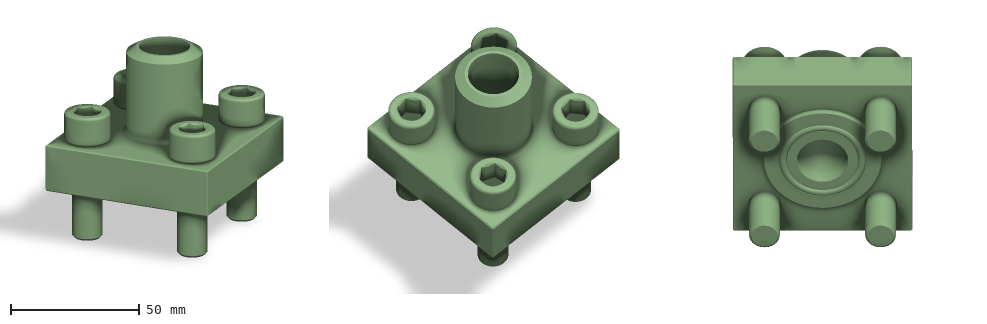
import cadquery as cq
import math

OVERALL_WIDTH = 91.1
TILT = 22.5

PLATE_THICKNESS = 19.0
PLATE_CHAMFER = 0.5
FACE_DIAMETER = 46.0
FACE_HEIGHT = 2.0
FACE_CHAMFER = 0.5
STUB_DIAMETER = 30.0
STUB_HEIGHT = 35.0
STUB_ROOT_FILLET = 1.9
STUB_TIP_DIAMETER = 22.5
STUB_BEVEL_ANGLE = 30.0
BORE_DIAMETER = 20.0

SCREW_COUNT = 4
FIRST_SCREW_ANGLE = TILT + 45
SCREW_CIRCLE_DIAMETER = 64.0
CLEARANCE_DIAMETER = 13.0
SHANK_DIAMETER = 12.0
SHANK_LENGTH = 40.0
SHANK_CHAMFER = 1.0
HEAD_DIAMETER = 18.0
HEAD_HEIGHT = 12.0
HEAD_TOP_FILLET = 1.2
HEAD_BASE_FILLET = 1.2
HEX_SIDES = 6
HEX_CORNER_DIAMETER = 11.6
HEX_DEPTH = 9.0
HEX_LEAD_ANGLE = 45.0

RING_OUTER_DIAMETER = 33.8
RING_INNER_DIAMETER = 28.0
RING_PROTRUSION = 0.6

tilt_sin = math.sin(math.radians(TILT))
tilt_cos = math.cos(math.radians(TILT))
plate_side = (OVERALL_WIDTH + 2 * PLATE_CHAMFER * tilt_sin) / (tilt_sin + tilt_cos)
stub_tip_z = PLATE_THICKNESS + STUB_HEIGHT
stub_bevel_width = (STUB_DIAMETER - STUB_TIP_DIAMETER) / 2
stub_bevel_height = stub_bevel_width * math.tan(math.radians(STUB_BEVEL_ANGLE))
ring_section_diameter = (RING_OUTER_DIAMETER - RING_INNER_DIAMETER) / 2
ring_centre_radius = (RING_OUTER_DIAMETER + RING_INNER_DIAMETER) / 4
groove_depth = ring_section_diameter - RING_PROTRUSION


def disc(diameter, bottom, height):
    """Upright cylinder on the Z axis."""
    return cq.Workplane("XY", origin=(0, 0, bottom)).circle(diameter / 2).extrude(height)


def screw_places():
    """Turn of each screw from the first one, degrees, with its X and Y."""
    radius = SCREW_CIRCLE_DIAMETER / 2
    places = []
    for index in range(SCREW_COUNT):
        turn = index * 360 / SCREW_COUNT
        angle = math.radians(FIRST_SCREW_ANGLE + turn)
        places.append((turn, radius * math.cos(angle), radius * math.sin(angle)))
    return places


def make_stub():
    """Pipe stub with a welding bevel and a concave fillet at its root."""
    radius = STUB_DIAMETER / 2
    fillet_start = (radius + STUB_ROOT_FILLET, PLATE_THICKNESS)
    fillet_end = (radius, PLATE_THICKNESS + STUB_ROOT_FILLET)
    fillet_inset = STUB_ROOT_FILLET * (1 - math.sqrt(0.5))
    fillet_middle = (radius + fillet_inset, PLATE_THICKNESS + fillet_inset)
    return (
        cq.Workplane("XZ")
        .lineTo(radius + STUB_ROOT_FILLET, 0)
        .lineTo(*fillet_start)
        .threePointArc(fillet_middle, fillet_end)
        .lineTo(radius, stub_tip_z - stub_bevel_height)
        .lineTo(STUB_TIP_DIAMETER / 2, stub_tip_z)
        .lineTo(0, stub_tip_z)
        .close()
        .revolve(360, (0, 0, 0), (0, 1, 0))
    )


def make_flange():
    """Square flange with its stub, raised face, bore, screw holes and O-ring groove."""
    plate = (
        cq.Workplane("XY")
        .rect(plate_side, plate_side)
        .extrude(PLATE_THICKNESS)
        .edges()
        .chamfer(PLATE_CHAMFER)
        .rotate((0, 0, 0), (0, 0, 1), TILT)
    )
    raised_face = disc(FACE_DIAMETER, -FACE_HEIGHT, FACE_HEIGHT).faces("<Z").edges().chamfer(FACE_CHAMFER)
    body = plate.union(raised_face).union(make_stub())

    body = body.cut(disc(BORE_DIAMETER, -FACE_HEIGHT, FACE_HEIGHT + stub_tip_z))
    hole = disc(CLEARANCE_DIAMETER, -FACE_HEIGHT, FACE_HEIGHT + PLATE_THICKNESS)
    for _, x, y in screw_places():
        body = body.cut(hole.translate((x, y, 0)))

    groove = disc(RING_OUTER_DIAMETER, -FACE_HEIGHT, groove_depth).cut(
        disc(RING_INNER_DIAMETER, -FACE_HEIGHT, groove_depth)
    )
    return body.cut(groove)


def make_screw(turn, x, y):
    """Cap screw whose head rests on the plate, its hex socket turned with the screw pattern."""
    head = disc(HEAD_DIAMETER, 0, HEAD_HEIGHT)
    head = head.faces(">Z").edges().fillet(HEAD_TOP_FILLET)
    head = head.faces("<Z").edges().fillet(HEAD_BASE_FILLET)
    shank = disc(SHANK_DIAMETER, -SHANK_LENGTH, SHANK_LENGTH).faces("<Z").edges().chamfer(SHANK_CHAMFER)

    socket = (
        cq.Workplane("XY", origin=(0, 0, HEAD_HEIGHT - HEX_DEPTH))
        .polygon(HEX_SIDES, HEX_CORNER_DIAMETER)
        .extrude(HEX_DEPTH)
    )
    lead_radius = HEX_CORNER_DIAMETER / 2
    lead_depth = lead_radius * math.tan(math.radians(HEX_LEAD_ANGLE))
    lead_in = cq.Workplane(
        cq.Solid.makeCone(0, lead_radius, lead_depth, pnt=cq.Vector(0, 0, HEAD_HEIGHT - lead_depth))
    )
    screw = head.union(shank).cut(socket).cut(lead_in)

    return screw.rotate((0, 0, 0), (0, 0, 1), turn).translate((x, y, PLATE_THICKNESS))


def make_o_ring():
    """Round-section ring resting on the groove floor and standing proud of the raised face."""
    centre_z = -FACE_HEIGHT + groove_depth - ring_section_diameter / 2
    ring = cq.Solid.makeTorus(ring_centre_radius, ring_section_diameter / 2, cq.Vector(0, 0, centre_z))
    return cq.Workplane(ring)


flange = make_flange().solids()
o_ring = make_o_ring().solids()
screws = [make_screw(turn, x, y).solids() for turn, x, y in screw_places()]

result = cq.Compound.makeCompound([flange.val(), o_ring.val(), *[screw.val() for screw in screws]])